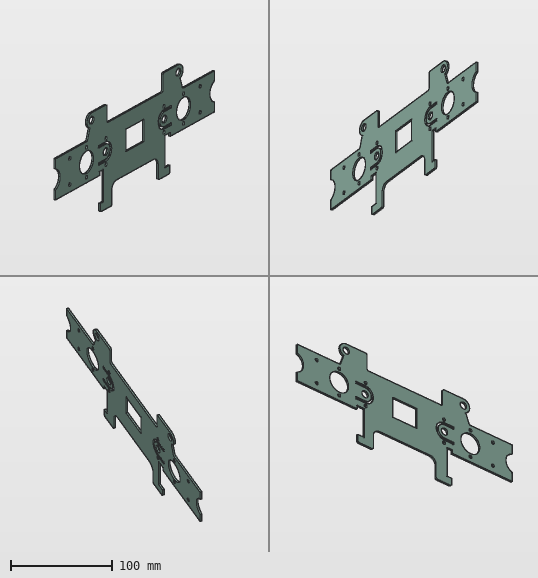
import cadquery as cq
import math

thickness = 2.0
overall_height = 111.61

wing_out = 137.135
wing_half_height = 22.0
end_scallop_radius = 12.0
end_scallop_out = 141.2

ear_hole_out = 74.8
ear_hole_height = 42.0
ear_hole_diameter = 8.0
ear_radius = 8.0
ear_inner_out = 48.3
ear_top = ear_hole_height + ear_radius
neck_top_height = 34.6
neck_foot_out = 82.3

body_top = 30.0
body_bottom = -36.8
leg_inner_out = 40.0
plus_y_leg_outer_out = 51.7
minus_y_leg_outer_out = 54.1
foot_out = 60.0
foot_top = -52.5
foot_bottom = ear_top - overall_height
notch_out = 60.8
notch_top = -17.8
leg_root_radius = 8.0
corner_radius = 2.0

window_width = 30.5
window_height = 24.0
bore_out = 83.7
bore_diameter = 24.0
small_hole_diameter = 3.5
bore_screw_height = 16.0
screw_height = 14.0
screw_outs = (50.0, 112.4)

tongue_out = 50.7
tongue_hole_diameter = 8.0
slot_outer_radius = 10.5
slot_inner_radius = 8.0
slot_end_out = 62.4

centreline_z = overall_height / 2 - ear_top


def sketch_plane():
    """YZ plane through the back face, with its origin on the wing centreline."""
    return cq.Workplane("YZ", origin=(-thickness / 2, 0, centreline_z))


def round_corners(body, side, corners, radius):
    """Round the edges through the thickness at the given (out, height) corners."""
    for out, height in corners:
        point = (0, side * out, centreline_z + height)
        edge = cq.selectors.NearestToPointSelector(point)
        body = body.edges("|X").edges(edge).fillet(radius)
    return body


def half_plate(side, leg_outer_out):
    """Outline of one half; side is +1 toward +Y and -1 toward -Y."""
    neck_angle = -math.asin((ear_hole_height - neck_top_height) / ear_radius)
    arc_mid_angle = (math.pi / 2 + neck_angle) / 2

    def at(out, height):
        return (side * out, height)

    def on_ear(angle):
        return at(
            ear_hole_out + ear_radius * math.cos(angle),
            ear_hole_height + ear_radius * math.sin(angle),
        )

    half = (
        sketch_plane()
        .moveTo(*at(0, body_top))
        .lineTo(*at(ear_inner_out, body_top))
        .lineTo(*at(ear_inner_out, ear_top))
        .lineTo(*at(ear_hole_out, ear_top))
        .threePointArc(on_ear(arc_mid_angle), on_ear(neck_angle))
        .lineTo(*at(neck_foot_out, wing_half_height))
        .lineTo(*at(wing_out, wing_half_height))
        .lineTo(*at(wing_out, -wing_half_height))
        .lineTo(*at(notch_out, -wing_half_height))
        .lineTo(*at(notch_out, notch_top))
        .lineTo(*at(leg_outer_out, notch_top))
        .lineTo(*at(leg_outer_out, foot_top))
        .lineTo(*at(foot_out, foot_top))
        .lineTo(*at(foot_out, foot_bottom))
        .lineTo(*at(leg_inner_out, foot_bottom))
        .lineTo(*at(leg_inner_out, body_bottom))
        .lineTo(*at(0, body_bottom))
        .close()
        .extrude(thickness)
    )
    small_corners = [
        (ear_inner_out, body_top),
        (ear_inner_out, ear_top),
        (neck_foot_out, wing_half_height),
        (foot_out, foot_bottom),
        (leg_inner_out, foot_bottom),
    ]
    half = round_corners(half, side, small_corners, corner_radius)
    return round_corners(half, side, [(leg_inner_out, body_bottom)], leg_root_radius)


def holes(points, diameter):
    return sketch_plane().pushPoints(points).circle(diameter / 2).extrude(thickness)


def tongue_shape(side, radius):
    """Round-nosed strip reaching from the slot ends to the tongue nose."""
    straight = slot_end_out - tongue_out
    strip = (
        sketch_plane()
        .center(side * (tongue_out + straight / 2), 0)
        .rect(straight, 2 * radius)
        .extrude(thickness)
    )
    return strip.union(holes([(side * tongue_out, 0)], 2 * radius))


def tongue_slot(side):
    return tongue_shape(side, slot_outer_radius).cut(tongue_shape(side, slot_inner_radius))


def cut_side_openings(body, side):
    screw_points = [(side * out, sign * screw_height) for out in screw_outs for sign in (1, -1)]
    screw_points += [(side * bore_out, sign * bore_screw_height) for sign in (1, -1)]
    return (
        body.cut(holes(screw_points, small_hole_diameter))
        .cut(holes([(side * bore_out, 0)], bore_diameter))
        .cut(holes([(side * end_scallop_out, 0)], 2 * end_scallop_radius))
        .cut(holes([(side * ear_hole_out, ear_hole_height)], ear_hole_diameter))
        .cut(tongue_slot(side))
        .cut(holes([(side * tongue_out, 0)], tongue_hole_diameter))
    )


plate = half_plate(1, plus_y_leg_outer_out).union(half_plate(-1, minus_y_leg_outer_out))
plate = plate.cut(sketch_plane().rect(window_width, window_height).extrude(thickness))
for side in (1, -1):
    plate = cut_side_openings(plate, side)

result = plate.clean()